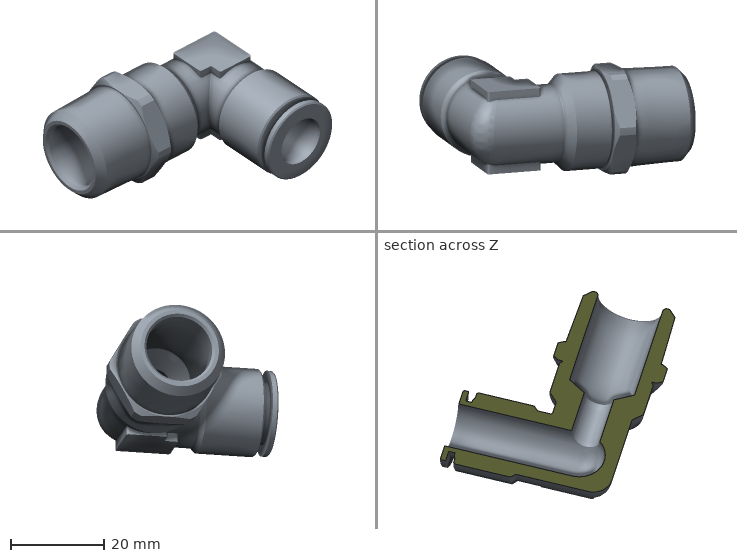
import cadquery as cq
import math

elbow_radius = 8.5
outer_corner_fillet = 4.0
inner_corner_fillet = 0.3
shoulder_fillet = 0.4

pad_half_height = 9.1
pad_near = 4.5
pad_far = 7.5
pad_corner_radius = 0.5

collar_radius = 10.5
collar_start = 13.65
collar_end = 22.0
collar_chamfer = 0.5

hex_start = 22.1
hex_end = 27.1
hex_across_flats = 22.0
hex_corner_radius = 12.25
hex_chamfer_angle = math.radians(30)

male_end = 41.1
male_chamfer = 1.7
male_tip_radius = 10.28
male_taper = 1 / 32

sleeve_radius = 9.5
sleeve_start = 12.75
sleeve_end = 25.5
sleeve_chamfer = 0.35

cap_base_radius = 8.2
cap_tip_radius = 7.2
cap_end = 25.9

ring_neck_radius = 6.75
ring_radius = 9.25
ring_start = 27.2
ring_end = 28.5
ring_chamfer = 0.3

entry_radius = 7.2
entry_chamfer = 0.55
outlet_radius = 5.5
entry_end = 18.0
throat_radius = 3.25
funnel_half_angle = math.radians(59)
funnel_length = (entry_radius - throat_radius) / math.tan(funnel_half_angle)


def turned(stations):
    """Solid of revolution about the X axis through (distance, radius) stations."""
    start = (stations[0][0], 0)
    end = (stations[-1][0], 0)
    outline = cq.Workplane("XY").polyline([start, *stations, end]).close()
    return outline.revolve(360, (0, 0, 0), (1, 0, 0))


def along_minus_y(body):
    """Swing a body built along +X so that it points along -Y."""
    return body.rotate((0, 0, 0), (0, 0, 1), -90)


def make_pads():
    outline = [
        (-pad_near, pad_near),
        (pad_far, pad_near),
        (pad_far, -pad_near),
        (pad_near, -pad_near),
        (pad_near, -pad_far),
        (-pad_near, -pad_far),
    ]
    slab = cq.Workplane("XY").polyline(outline).close().extrude(pad_half_height, both=True)
    margin = pad_corner_radius
    notch_edge = cq.selectors.BoxSelector(
        (pad_near - margin, -pad_near - margin, -margin),
        (pad_near + margin, -pad_near + margin, margin),
    )
    outer_edges = slab.edges("|Z").edges(cq.selectors.InverseSelector(notch_edge))
    return outer_edges.fillet(pad_corner_radius)


def round_mitre(elbow, side, radius):
    """Round the part of the mitre edge beside the pads: side +1 is inner, -1 is outer."""
    near = side * pad_near
    far = side * elbow_radius
    corner = cq.selectors.BoxSelector((near, -near, -elbow_radius), (far, -far, elbow_radius))
    mitre_edges = elbow.edges("%ELLIPSE").edges(corner)
    return mitre_edges.fillet(radius)


def make_elbow():
    arm_ends = [(0, -collar_start), (0, 0), (sleeve_start, 0)]
    path = cq.Workplane("XY").polyline(arm_ends)
    section = cq.Workplane("XZ", origin=(0, -collar_start, 0)).circle(elbow_radius)
    elbow = section.sweep(path, transition="right").union(make_pads())
    elbow = round_mitre(elbow, -1, outer_corner_fillet)
    return round_mitre(elbow, 1, inner_corner_fillet)


def make_collar(radius, start, end, chamfer):
    """Collar along +X: blended 45 degree shoulder up from the arm, chamfered far end."""
    shoulder = start - (radius - elbow_radius)
    collar = turned(
        [
            (shoulder - shoulder_fillet, elbow_radius),
            (shoulder, elbow_radius),
            (start, radius),
            (end - chamfer, radius),
            (end, radius - chamfer),
        ]
    )
    half_box = shoulder_fillet / 2
    shoulder_edge = cq.selectors.BoxSelector(
        (shoulder - half_box, -half_box, -half_box),
        (shoulder + half_box, half_box, half_box),
    )
    return collar.edges(shoulder_edge).fillet(shoulder_fillet)


def make_hexagon():
    """Hexagon along +X with flats facing +Z and -Z."""
    across_corners = hex_across_flats / math.cos(math.radians(30))
    prism = (
        cq.Workplane("YZ", origin=(hex_start, 0, 0))
        .polygon(6, across_corners)
        .extrude(hex_end - hex_start)
    )
    face_radius = hex_across_flats / 2
    chamfer_length = (hex_corner_radius - face_radius) * math.tan(hex_chamfer_angle)
    envelope = turned(
        [
            (hex_start, face_radius),
            (hex_start + chamfer_length, hex_corner_radius),
            (hex_end - chamfer_length, hex_corner_radius),
            (hex_end, face_radius),
        ]
    )
    return prism.intersect(envelope)


def make_male_end():
    """Neck through the hexagon, then the taper and its lead-in chamfer, along +X."""
    neck_radius = collar_radius - collar_chamfer
    chamfer_start = male_end - male_chamfer
    root_radius = male_tip_radius + male_taper * (chamfer_start - hex_end)
    return turned(
        [
            (collar_end, neck_radius),
            (hex_end, neck_radius),
            (hex_end, root_radius),
            (chamfer_start, male_tip_radius),
            (male_end, male_tip_radius - male_chamfer),
        ]
    )


def make_release_ring():
    """Sleeve cap, neck and release ring along +X."""
    return turned(
        [
            (sleeve_end, cap_base_radius),
            (cap_end, cap_tip_radius),
            (cap_end, ring_neck_radius),
            (ring_start, ring_neck_radius),
            (ring_start, ring_radius),
            (ring_end - ring_chamfer, ring_radius),
            (ring_end, ring_radius - ring_chamfer),
        ]
    )


def make_passage():
    """Inside of the fitting: entry, funnel and throat along -Y, round-ended outlet along +X."""
    entry = turned(
        [
            (0, throat_radius),
            (entry_end - funnel_length, throat_radius),
            (entry_end, entry_radius),
            (male_end - entry_chamfer, entry_radius),
            (male_end, entry_radius + entry_chamfer),
        ]
    )
    outlet = turned([(0, outlet_radius), (ring_end, outlet_radius)])
    outlet_round_end = cq.Workplane("XY").sphere(outlet_radius)
    return along_minus_y(entry).union(outlet_round_end).union(outlet)


male_arm = (
    make_collar(collar_radius, collar_start, collar_end, collar_chamfer)
    .union(make_male_end())
    .union(make_hexagon())
)
sleeve_arm = make_collar(sleeve_radius, sleeve_start, sleeve_end, sleeve_chamfer).union(make_release_ring())

result = make_elbow().union(along_minus_y(male_arm)).union(sleeve_arm).cut(make_passage())